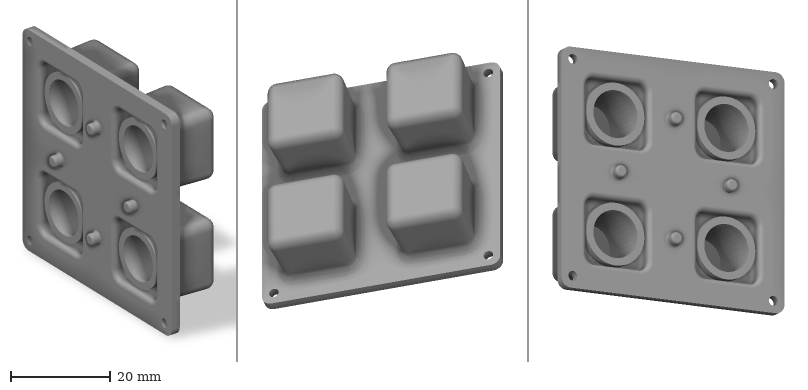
import cadquery as cq
import math

plate_side = 50.15
plate_thickness = 2.0
plate_corner_radius = 2.0
screw_hole_diameter = 2.0
screw_hole_inset = 2.5
screw_hole_spacing = plate_side - 2 * screw_hole_inset

station_offset = 12.5
dome_height = 13.0
dome_end_side = 16.05
dome_flare_angle = 2.0
dome_base_side = dome_end_side - 2 * dome_height * math.tan(math.radians(dome_flare_angle))
dome_edge_radius = 2.0
dome_foot_radius = 2.0

cavity_side = 14.0
cavity_corner_radius = 2.0
cavity_floor_radius = 1.0
cavity_lip_radius = 1.0
cavity_depth = 3.0

collar_diameter = 13.05
collar_recess = 1.0
bore_diameter = 9.95
bore_end_diameter = 9.45
roof_thickness = 2.0
bore_depth = plate_thickness + dome_height - roof_thickness

pin_diameter = 2.5
pin_length = 2.0
pin_round_radius = 0.5


def facing_back(y):
    """Workplane at the given Y whose normal points toward +Y."""
    return cq.Workplane("XZ", origin=(0, y, 0)).transformed(rotate=(180, 0, 0))


def make_plate():
    """Square plate with rounded corners and a screw hole at each corner."""
    plate = facing_back(0).rect(plate_side, plate_side).extrude(plate_thickness)
    plate = plate.edges("|Y").fillet(plate_corner_radius)
    holes = (
        facing_back(0)
        .rect(screw_hole_spacing, screw_hole_spacing, forConstruction=True)
        .vertices()
        .circle(screw_hole_diameter / 2)
        .extrude(plate_thickness)
    )
    return plate.cut(holes)


def make_dome():
    """Solid flared dome on the plate's back plane, centred on the Y axis."""
    dome = (
        facing_back(plate_thickness)
        .rect(dome_base_side, dome_base_side)
        .workplane(offset=dome_height)
        .rect(dome_end_side, dome_end_side)
        .loft(combine=True)
    )
    return dome.edges("not <Y").fillet(dome_edge_radius)


def make_cavity():
    """Space of the cavity, rounded at its corners and around its floor."""
    cavity = facing_back(0).rect(cavity_side, cavity_side).extrude(cavity_depth)
    cavity = cavity.edges("|Y").fillet(cavity_corner_radius)
    return cavity.faces(">Y").edges().fillet(cavity_floor_radius)


def make_collar():
    """Solid disc from the cavity floor to the collar's end face."""
    return facing_back(collar_recess).circle(collar_diameter / 2).extrude(cavity_depth - collar_recess)


def make_bore():
    """Bore that is straight through the collar and narrows from the cavity floor on."""
    return (
        cq.Workplane("XY")
        .moveTo(0, collar_recess)
        .lineTo(bore_diameter / 2, collar_recess)
        .lineTo(bore_diameter / 2, cavity_depth)
        .lineTo(bore_end_diameter / 2, bore_depth)
        .lineTo(0, bore_depth)
        .close()
        .revolve(360, (0, 0, 0), (0, 1, 0))
    )


def at_stations(body):
    """The four copies of a body at the dome stations."""
    return [
        body.translate((x, 0, z))
        for x in (-station_offset, station_offset)
        for z in (-station_offset, station_offset)
    ]


def station_edges(y):
    """Selects the edges in the plane at the given Y that surround the dome stations."""
    reach = station_offset + dome_end_side / 2
    margin = 0.05
    return cq.selectors.BoxSelector(
        (-reach, y - margin, -reach),
        (reach, y + margin, reach),
        boundingbox=True,
    )


def make_pin():
    """Plain pin on the plate's front face, with a rounded tip."""
    pin = cq.Workplane("XZ").circle(pin_diameter / 2).extrude(pin_length)
    return pin.faces("<Y").edges().fillet(pin_round_radius)


def make_flared_pin():
    """Pin whose foot flares out to meet the plate in a concave round."""
    foot_radius = pin_diameter / 2 + pin_round_radius
    foot = (
        cq.Workplane("XY")
        .lineTo(foot_radius, 0)
        .radiusArc((pin_diameter / 2, -pin_round_radius), -pin_round_radius)
        .lineTo(0, -pin_round_radius)
        .close()
        .revolve(360, (0, 0, 0), (0, 1, 0))
    )
    return make_pin().union(foot)


def make_housing():
    """Plate with its domes, cavities, collars and bores, and the one plain pin."""
    housing = make_plate()
    for dome in at_stations(make_dome()):
        housing = housing.union(dome)
    housing = housing.edges(station_edges(plate_thickness)).fillet(dome_foot_radius)
    for cavity in at_stations(make_cavity()):
        housing = housing.cut(cavity)
    housing = housing.edges(station_edges(0)).fillet(cavity_lip_radius)
    for collar in at_stations(make_collar()):
        housing = housing.union(collar)
    for bore in at_stations(make_bore()):
        housing = housing.cut(bore)
    return housing.union(make_pin().translate((station_offset, 0, 0)))


housing = make_housing()
flared_pins = [
    make_flared_pin().translate((x, 0, z))
    for x, z in ((-station_offset, 0), (0, station_offset), (0, -station_offset))
]
result = cq.Compound.makeCompound([housing.val(), *[pin.val() for pin in flared_pins]])